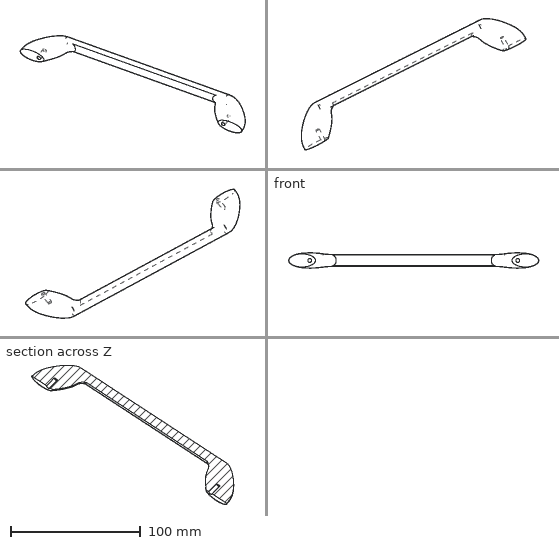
import cadquery as cq

length = 192.7
projection = 30.0
half_length = length / 2

bar_depth = 8.5
bar_half_height = 4.6
bar_inner_share = 0.3
bar_inner_y = projection - bar_depth
bar_widest_y = bar_inner_y + bar_depth * bar_inner_share
bar_arch_height = 0.8
bar_arch_half_width = 4.0
bar_corner_y = bar_inner_y + bar_arch_height
bar_corner_bulge = 0.2
bar_outer_start = 26.4
bar_inner_start = 36.6

hole_diameter = 2.9
hole_depth = 9.6
hole_inset = 16.2

foot_width = 20.6
leg_sections = [
    ((0.0, 0.0), (foot_width, 0.0), 5.0, 0.5),
    ((2.3, 10.5), (27.5, 8.0), 6.0, 0.5),
    ((8.9, 19.7), (31.2, 14.6), 5.8, 0.45),
    ((18.9, 28.3), (33.0, 18.7), 5.0, 0.35),
    ((bar_outer_start, projection), (bar_inner_start, bar_inner_y), bar_half_height, bar_inner_share),
]


def section_wire(outer, inner, half_height, inner_share):
    """Closed section of two half ellipses standing on the line from outer to inner point."""
    outer_point = cq.Vector(outer[0] - half_length, outer[1], 0)
    inner_point = cq.Vector(inner[0] - half_length, inner[1], 0)
    across = outer_point - inner_point
    widest = inner_point + across * inner_share
    up = cq.Vector(0, 0, 1)

    def half_ellipse(apex):
        """Half ellipse from side to side through the apex."""
        reach = apex - widest
        normal = up.cross(reach).normalized()
        if reach.Length >= half_height:
            return cq.Edge.makeEllipse(
                reach.Length, half_height, widest, normal, reach, 270, 90)
        return cq.Edge.makeEllipse(half_height, reach.Length, widest, normal, up, 0, 180)

    return cq.Wire.assembleEdges([half_ellipse(outer_point), half_ellipse(inner_point)])


def make_leg():
    """Curved leg that swells above the foot and runs into the bar."""
    wires = [section_wire(*section) for section in leg_sections]
    leg = cq.Workplane(obj=cq.Solid.makeLoft(wires))
    hole = cq.Solid.makeCylinder(
        hole_diameter / 2,
        hole_depth,
        cq.Vector(hole_inset - half_length, 0, 0),
        cq.Vector(0, 1, 0),
    )
    return leg.cut(cq.Workplane(obj=hole))


def make_bar():
    """Straight bar whose ends are buried in the two legs."""
    corner_mid_height = (bar_half_height + bar_arch_half_width) / 2 + bar_corner_bulge
    corner_mid_y = (bar_widest_y + bar_corner_y) / 2
    profile = (
        cq.Workplane("YZ", origin=(bar_outer_start - half_length, 0, 0))
        .moveTo(bar_widest_y, bar_half_height)
        .threePointArc((corner_mid_y, corner_mid_height), (bar_corner_y, bar_arch_half_width))
        .threePointArc((bar_inner_y, 0), (bar_corner_y, -bar_arch_half_width))
        .threePointArc((corner_mid_y, -corner_mid_height), (bar_widest_y, -bar_half_height))
        .ellipseArc(
            projection - bar_widest_y, bar_half_height, -90, 90,
            startAtCurrent=True,
        )
        .close()
    )
    span = length - 2 * bar_outer_start
    return profile.extrude(span)


left_leg = make_leg()
result = make_bar().union(left_leg).union(left_leg.mirror("YZ"))